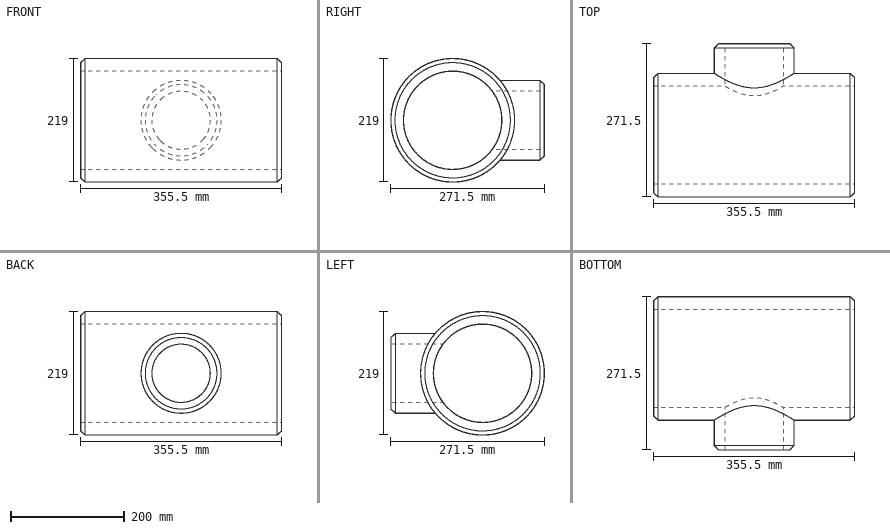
import cadquery as cq

run_length = 355.5
run_diameter = 219.0
run_bore = 173.5

branch_diameter = 141.5
branch_bore = 103.0
branch_reach = 162.0

bevel_length = 8.2
bevel_depth = 7.5


def beveled_pipe_profile(diameter, start, end, bevel_start):
    """Half section (radius, distance along axis) of a solid pipe body."""
    radius = diameter / 2
    rim_radius = radius - bevel_depth
    points = [(0, start)]
    if bevel_start:
        points += [(rim_radius, start), (radius, start + bevel_length)]
    else:
        points += [(radius, start)]
    points += [(radius, end - bevel_length), (rim_radius, end), (0, end)]
    return points


def make_run():
    profile = beveled_pipe_profile(run_diameter, -run_length / 2, run_length / 2, True)
    outline = [(along, radius) for radius, along in profile]
    return cq.Workplane("XY").polyline(outline).close().revolve(360, (0, 0, 0), (1, 0, 0))


def make_branch():
    outline = beveled_pipe_profile(branch_diameter, 0, branch_reach, False)
    return cq.Workplane("XY").polyline(outline).close().revolve(360, (0, 0, 0), (0, 1, 0))


def make_run_bore():
    return cq.Workplane("YZ").circle(run_bore / 2).extrude(run_length / 2, both=True)


def make_branch_bore():
    return cq.Workplane("XZ").circle(branch_bore / 2).extrude(-branch_reach)


body = make_run().union(make_branch())
result = body.cut(make_run_bore()).cut(make_branch_bore())